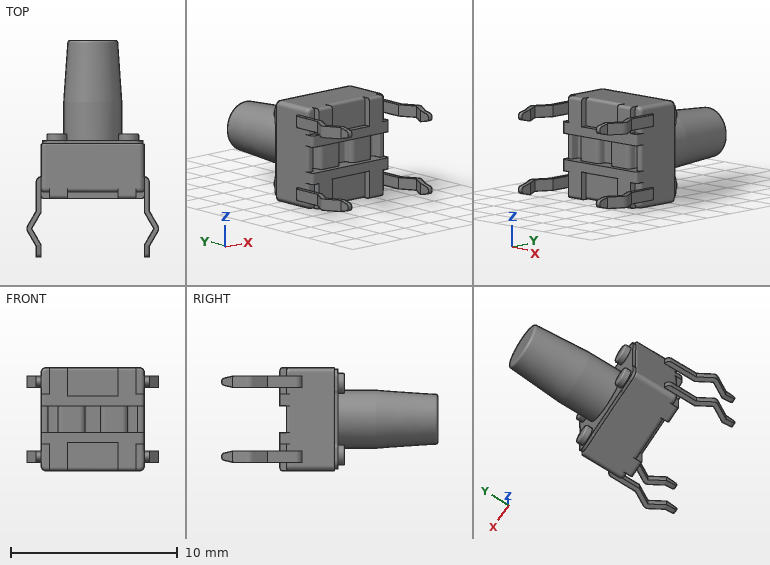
import cadquery as cq
import math


TOTAL_LENGTH = 13.0

BODY_SIZE = 6.2
BODY_CORNER_RADIUS = 0.3
COVER_START_Y = 0.4
COVER_END_Y = 3.3
COVER_TOP_FILLET = 0.08
SEAT_EDGE_FILLET = 0.2

SIDE_NOTCH_WIDTH = 3.0
SIDE_NOTCH_DEPTH = 1.72
CORNER_NOTCH_X = 0.51
CORNER_NOTCH_Z = 1.6

CHANNEL_WIDTH = 1.6
CHANNEL_FLOOR_Y = 1.0
CHANNEL_WALL_X = 2.69
CHANNEL_WALL_FILLET = 0.09
PAD_INNER_X = 0.45
PAD_OUTER_X = 2.09
PAD_FILLET = 0.31
PAD_ROOT_FILLET = 0.12

PLATE_SIZE = 6.0
PLATE_TOP_Y = 3.5
PLATE_CORNER_RADIUS = 0.52
RECESS_FLOOR_WIDTH = 3.02
RECESS_CURVE_RUN = 0.12
RECESS_CURVE_ANGLE = math.radians(30)
TAB_WIDTH = 0.75
TAB_SLOPE_RUN = 0.074
TAB_HEIGHT = 0.01

PEG_DIAMETER = 1.21
PEG_OFFSET = 2.16
PEG_TOP_Y = 3.9
PEG_FILLET = 0.1

PLUNGER_DIAMETER = 3.5
PLUNGER_TIP_DIAMETER = 2.99
PLUNGER_TAPER_Y = 5.8
PLUNGER_TOP_Y = 9.5
PLUNGER_TIP_FILLET = 0.15

LEAD_THICKNESS = 0.3
LEAD_WIDTH = 0.7
LEAD_OFFSET_Z = 2.25
LEAD_SHOULDER_Y = 0.99
LEAD_SHOULDER_RADIUS = 0.35
LEAD_KINK_Y = -1.8
LEAD_KINK_HALF_LENGTH = 0.98
LEAD_KINK_ANGLE = math.radians(30)
LEAD_KINK_FILLET = 0.36
LEAD_END_Y = PLUNGER_TOP_Y - TOTAL_LENGTH
LEAD_TIP_RADIUS = 0.23
LEAD_TAPER_ANGLE = math.radians(13)

BODY_HALF = BODY_SIZE / 2
SIGNS = (-1, 1)


def centred_block(size_x, y_start, y_end, size_z):
    """Box centred on the Y axis."""
    box = cq.Workplane("XY").box(size_x, y_end - y_start, size_z)
    return box.translate((0, (y_start + y_end) / 2, 0))


def fillet_along_z(solid, x, y, radius):
    """Round the pair of Z-parallel edges at (x, y) and (-x, y)."""
    for side in SIGNS:
        edge = cq.selectors.NearestToPointSelector((side * x, y, 0))
        solid = solid.edges("|Z").edges(edge).fillet(radius)
    return solid


def make_cover():
    cover = centred_block(BODY_SIZE, COVER_START_Y, COVER_END_Y, BODY_SIZE)
    cover = cover.edges("|Y").fillet(BODY_CORNER_RADIUS)
    cover = cover.faces("<Y").edges().fillet(SEAT_EDGE_FILLET)
    return cover.faces(">Y").edges().fillet(COVER_TOP_FILLET)


def make_base():
    """Rounded feet left between the corner notches, side notches and channel.

    The feet rise past the rounded lower edge of the cover and fill it where they stand.
    """
    top_y = COVER_START_Y + SEAT_EDGE_FILLET
    base = centred_block(BODY_SIZE, 0, top_y, BODY_SIZE)
    base = base.faces("<Y").edges().fillet(SEAT_EDGE_FILLET)
    base = base.cut(centred_block(BODY_SIZE, 0, top_y, CHANNEL_WIDTH))
    side_notch = centred_block(SIDE_NOTCH_WIDTH, 0, top_y, 2 * SIDE_NOTCH_DEPTH)
    corner_notch = centred_block(2 * CORNER_NOTCH_X, 0, top_y, 2 * CORNER_NOTCH_Z)
    for side_z in SIGNS:
        base = base.cut(side_notch.translate((0, 0, side_z * BODY_HALF)))
        for side_x in SIGNS:
            base = base.cut(corner_notch.translate((side_x * BODY_HALF, 0, side_z * BODY_HALF)))
    return base


def make_channel():
    """Hollow of the channel: open slot between the feet, sunk into the cover around two pads."""
    channel = centred_block(2 * CHANNEL_WALL_X, 0, CHANNEL_FLOOR_Y, CHANNEL_WIDTH)
    pad = centred_block(PAD_OUTER_X - PAD_INNER_X, COVER_START_Y, CHANNEL_FLOOR_Y, CHANNEL_WIDTH)
    for side in SIGNS:
        channel = channel.cut(pad.translate((side * (PAD_INNER_X + PAD_OUTER_X) / 2, 0, 0)))
    channel = channel.union(centred_block(BODY_SIZE, 0, COVER_START_Y, CHANNEL_WIDTH))
    for pad_x in (PAD_INNER_X, PAD_OUTER_X):
        channel = fillet_along_z(channel, pad_x, COVER_START_Y, PAD_FILLET)
        channel = fillet_along_z(channel, pad_x, CHANNEL_FLOOR_Y, PAD_ROOT_FILLET)
    channel = fillet_along_z(channel, CHANNEL_WALL_X, COVER_START_Y, CHANNEL_WALL_FILLET)
    return fillet_along_z(channel, CHANNEL_WALL_X, CHANNEL_FLOOR_Y, CHANNEL_WALL_FILLET)


def make_plate():
    plate = centred_block(PLATE_SIZE, COVER_END_Y, PLATE_TOP_Y, PLATE_SIZE)
    plate = plate.edges("|Y").fillet(PLATE_CORNER_RADIUS)

    edge = PLATE_SIZE / 2
    radius = RECESS_CURVE_RUN / math.sin(RECESS_CURVE_ANGLE)
    drop = radius * (1 - math.cos(RECESS_CURVE_ANGLE))
    floor = edge - 2 * drop
    floor_x = RECESS_FLOOR_WIDTH / 2
    middle_x = floor_x + RECESS_CURVE_RUN
    rim_x = middle_x + RECESS_CURVE_RUN
    thickness = PLATE_TOP_Y - COVER_END_Y
    recess = (
        cq.Workplane("XZ", origin=(0, PLATE_TOP_Y, 0))
        .moveTo(-rim_x, edge)
        .radiusArc((-middle_x, edge - drop), radius)
        .radiusArc((-floor_x, floor), -radius)
        .lineTo(floor_x, floor)
        .radiusArc((middle_x, edge - drop), -radius)
        .radiusArc((rim_x, edge), radius)
        .close()
        .extrude(thickness)
    )
    tab_x = TAB_WIDTH / 2
    tab_foot_x = tab_x + TAB_SLOPE_RUN
    tab_points = [(-tab_foot_x, floor), (-tab_x, floor + TAB_HEIGHT)]
    tab_points += [(tab_x, floor + TAB_HEIGHT), (tab_foot_x, floor)]
    tab = cq.Workplane("XZ", origin=(0, PLATE_TOP_Y, 0)).polyline(tab_points).close().extrude(thickness)
    tabbed_recess = recess.cut(tab)

    for quarter_turn, cutter in enumerate((tabbed_recess, recess, tabbed_recess, recess)):
        plate = plate.cut(cutter.rotate((0, 0, 0), (0, 1, 0), 90 * quarter_turn))
    return plate


def make_pegs():
    plane = cq.Workplane("XZ", origin=(0, PLATE_TOP_Y, 0))
    centres = plane.rect(2 * PEG_OFFSET, 2 * PEG_OFFSET, forConstruction=True).vertices()
    pegs = centres.circle(PEG_DIAMETER / 2).extrude(PLATE_TOP_Y - PEG_TOP_Y)
    return pegs.faces(">Y").edges().fillet(PEG_FILLET)


def make_plunger():
    plunger = (
        cq.Workplane("XY")
        .moveTo(0, COVER_END_Y)
        .lineTo(PLUNGER_DIAMETER / 2, COVER_END_Y)
        .lineTo(PLUNGER_DIAMETER / 2, PLUNGER_TAPER_Y)
        .lineTo(PLUNGER_TIP_DIAMETER / 2, PLUNGER_TOP_Y)
        .lineTo(0, PLUNGER_TOP_Y)
        .close()
        .revolve(360, (0, 0, 0), (0, 1, 0))
    )
    return plunger.faces(">Y").edges().fillet(PLUNGER_TIP_FILLET)


def make_lead():
    """Lead on the +X side, centred on Z = 0."""
    inner_x = BODY_HALF
    outer_x = inner_x + LEAD_THICKNESS
    kink_inner_x = inner_x + LEAD_KINK_HALF_LENGTH * math.tan(LEAD_KINK_ANGLE)
    kink_outer_x = kink_inner_x + LEAD_THICKNESS / math.cos(LEAD_KINK_ANGLE)
    bend_shift = LEAD_THICKNESS * math.tan(LEAD_KINK_ANGLE / 2)
    outer_half_length = LEAD_KINK_HALF_LENGTH + bend_shift
    shoulder_centre_x = outer_x - LEAD_SHOULDER_RADIUS
    top_y = LEAD_SHOULDER_Y + math.sqrt(LEAD_SHOULDER_RADIUS**2 - (inner_x - shoulder_centre_x) ** 2)
    strip = (
        cq.Workplane("XY")
        .moveTo(inner_x, top_y)
        .radiusArc((outer_x, LEAD_SHOULDER_Y), LEAD_SHOULDER_RADIUS)
        .lineTo(outer_x, LEAD_KINK_Y + outer_half_length)
        .lineTo(kink_outer_x, LEAD_KINK_Y)
        .lineTo(outer_x, LEAD_KINK_Y - outer_half_length)
        .lineTo(outer_x, LEAD_END_Y)
        .lineTo(inner_x, LEAD_END_Y)
        .lineTo(inner_x, LEAD_KINK_Y - LEAD_KINK_HALF_LENGTH)
        .lineTo(kink_inner_x, LEAD_KINK_Y)
        .lineTo(inner_x, LEAD_KINK_Y + LEAD_KINK_HALF_LENGTH)
        .close()
        .extrude(LEAD_WIDTH / 2, both=True)
    )
    strip = strip.edges(">X").fillet(LEAD_KINK_FILLET)

    half_width = LEAD_WIDTH / 2
    arc_half_width = LEAD_TIP_RADIUS * math.cos(LEAD_TAPER_ANGLE)
    arc_y = LEAD_END_Y + LEAD_TIP_RADIUS * (1 - math.sin(LEAD_TAPER_ANGLE))
    taper_y = arc_y + (half_width - arc_half_width) / math.tan(LEAD_TAPER_ANGLE)
    outline = (
        cq.Workplane("YZ")
        .moveTo(top_y, half_width)
        .lineTo(taper_y, half_width)
        .lineTo(arc_y, arc_half_width)
        .threePointArc((LEAD_END_Y, 0), (arc_y, -arc_half_width))
        .lineTo(taper_y, -half_width)
        .lineTo(top_y, -half_width)
        .close()
        .extrude(BODY_SIZE)
    )
    return strip.intersect(outline)


def make_leads():
    """One lead near each corner of the housing."""
    lead = make_lead()
    pair = lead.union(lead.mirror("YZ"))
    return [pair.translate((0, 0, side * LEAD_OFFSET_Z)) for side in SIGNS]


result = make_cover().union(make_base()).cut(make_channel())
for feature in (make_plate(), make_pegs(), make_plunger(), *make_leads()):
    result = result.union(feature)